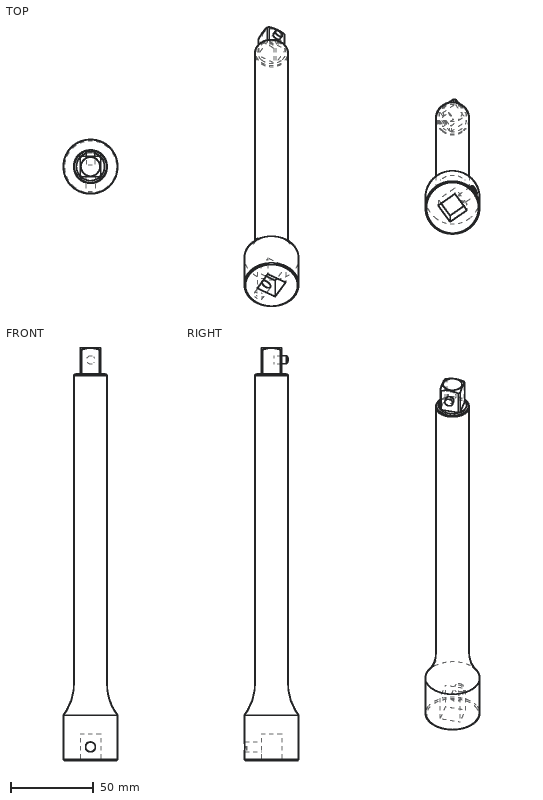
import cadquery as cq

TOTAL_LENGTH = 250.3
SOCKET_RADIUS = 16.5
SHAFT_DIAMETER = 20.3
SHAFT_RADIUS = SHAFT_DIAMETER / 2

SOCKET_HEIGHT = 27.5
FLARE_TOP = 46.0
SOCKET_BOTTOM_CHAMFER = 0.8

DRIVE_SIZE = 12.5
DRIVE_LENGTH = 15.8
DRIVE_CORNER_RADIUS = 8.3
DRIVE_TIP_RADIUS = 5.8
DRIVE_TIP_DROP = 1.3

SHOULDER_TOP_RADIUS = 8.5
SHOULDER_MID_RADIUS = 9.8
SHOULDER_MID_DROP = 0.5
SHOULDER_DROP = 1.3

RECESS_SIZE = DRIVE_SIZE
RECESS_DEPTH = 16.3

DRIVE_PIN_RADIUS = 2.5
DRIVE_PIN_DOME = 1.3
SOCKET_PIN_RADIUS = 3.0
SOCKET_PIN_DOME = 0.5
DRIVE_PIN_REACH = SHAFT_RADIUS
DRIVE_PIN_DEPTH = 5.0
DRIVE_PIN_DROP = 7.3
SOCKET_PIN_HEIGHT = 8.3
SOCKET_PIN_REACH = 15.5

DRIVE_BASE = TOTAL_LENGTH - DRIVE_LENGTH
DRIVE_PIN_Z = TOTAL_LENGTH - DRIVE_PIN_DROP
DRIVE_PIN_ROOT = DRIVE_SIZE / 2 - DRIVE_PIN_DEPTH
SOCKET_PIN_ROOT = RECESS_SIZE / 2


def revolve_about_z(profile):
    """Solid of revolution from a half profile touching the Z axis."""
    return profile.close().revolve(360, (0, 0, 0), (0, 1, 0))


def make_bar():
    """Revolved socket, flare and shaft, up to the drive shoulder."""
    rise = FLARE_TOP - SOCKET_HEIGHT
    profile = (
        cq.Workplane("XZ")
        .lineTo(SOCKET_RADIUS - SOCKET_BOTTOM_CHAMFER, 0)
        .lineTo(SOCKET_RADIUS, SOCKET_BOTTOM_CHAMFER)
        .lineTo(SOCKET_RADIUS, SOCKET_HEIGHT)
        .threePointArc(flare_midpoint(rise), (SHAFT_RADIUS, FLARE_TOP))
        .lineTo(SHAFT_RADIUS, DRIVE_BASE - SHOULDER_DROP)
        .lineTo(SHOULDER_MID_RADIUS, DRIVE_BASE - SHOULDER_MID_DROP)
        .lineTo(SHOULDER_TOP_RADIUS, DRIVE_BASE)
        .lineTo(0, DRIVE_BASE)
    )
    return revolve_about_z(profile)


def flare_midpoint(rise):
    """Point halfway up the flare arc."""
    spread = SOCKET_RADIUS - SHAFT_RADIUS
    arc_radius = (rise**2 + spread**2) / (2 * spread)
    half_rise = rise / 2
    offset = arc_radius - (arc_radius**2 - half_rise**2) ** 0.5
    return (SHAFT_RADIUS + offset, FLARE_TOP - half_rise)


def make_drive():
    """Square drive trimmed by a cylinder with a conical tip."""
    square = (
        cq.Workplane("XY", origin=(0, 0, DRIVE_BASE))
        .rect(DRIVE_SIZE, DRIVE_SIZE)
        .extrude(DRIVE_LENGTH)
    )
    envelope = revolve_about_z(
        cq.Workplane("XZ")
        .moveTo(0, DRIVE_BASE)
        .lineTo(DRIVE_CORNER_RADIUS, DRIVE_BASE)
        .lineTo(DRIVE_CORNER_RADIUS, TOTAL_LENGTH - DRIVE_TIP_DROP)
        .lineTo(DRIVE_TIP_RADIUS, TOTAL_LENGTH)
        .lineTo(0, TOTAL_LENGTH)
    )
    return square.intersect(envelope)


def make_pin_cylinder(radius, root, length, z):
    """Cylinder of the given length along +Y, starting at y = root."""
    return cq.Workplane("XZ", origin=(0, root, z)).circle(radius).extrude(-length)


def make_pin(radius, dome_height, root, reach, z):
    """Pin along +Y with a domed outer end at y = reach."""
    dome_radius = (radius**2 + dome_height**2) / (2 * dome_height)
    cylinder = make_pin_cylinder(radius, root, reach - root, z)
    dome = cq.Workplane("XY").sphere(dome_radius).translate((0, reach - dome_radius, z))
    shank = make_pin_cylinder(radius, root, reach - dome_height - root, z)
    return shank.union(cylinder.intersect(dome))


def make_extension():
    """Extension bar with its female square and both pin holes."""
    recess = cq.Workplane("XY").rect(RECESS_SIZE, RECESS_SIZE).extrude(RECESS_DEPTH)
    drive_hole = make_pin_cylinder(DRIVE_PIN_RADIUS, DRIVE_PIN_ROOT, DRIVE_PIN_DEPTH, DRIVE_PIN_Z)
    hole_depth = SOCKET_RADIUS - SOCKET_PIN_ROOT
    socket_hole = make_pin_cylinder(SOCKET_PIN_RADIUS, -SOCKET_RADIUS, hole_depth, SOCKET_PIN_HEIGHT)
    return make_bar().union(make_drive()).cut(recess).cut(drive_hole).cut(socket_hole)


extension = make_extension()
drive_pin = make_pin(DRIVE_PIN_RADIUS, DRIVE_PIN_DOME, DRIVE_PIN_ROOT, DRIVE_PIN_REACH, DRIVE_PIN_Z)
socket_pin = make_pin(
    SOCKET_PIN_RADIUS, SOCKET_PIN_DOME, SOCKET_PIN_ROOT, SOCKET_PIN_REACH, SOCKET_PIN_HEIGHT
).rotate((0, 0, 0), (0, 0, 1), 180)

result = cq.Compound.makeCompound([extension.val(), drive_pin.val(), socket_pin.val()])